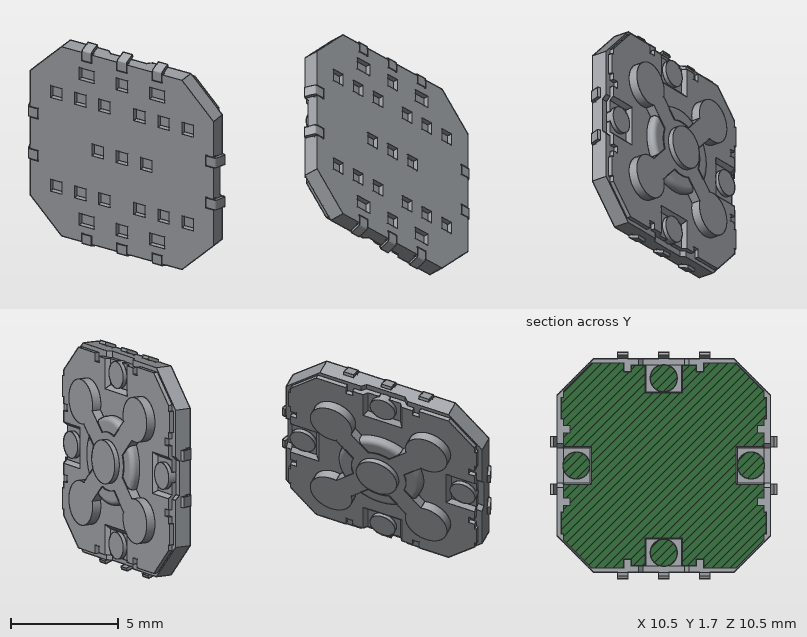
import cadquery as cq
import math

BASE_TOP = 0.8
COVER_THICKNESS = 0.2
COVER_TOP = BASE_TOP + COVER_THICKNESS
DISC_TOP = 1.41
HOUSING_TOP = 1.45
BUTTON_TOP = 1.7

BASE_SIZE = 9.9
BASE_CORNER = 1.7
BASE_HALF = BASE_SIZE / 2

WINDOW_DEPTH = 0.25
WINDOW_SIZE = 0.62
WIDE_WINDOW_SIZE = 0.82
INNER_WINDOW_X = (-1.31, 0, 1.31)
SIDE_WINDOW_X = (0.95, 2.25, 3.55)
SIDE_WINDOW_Z = 2.45
OUTER_WINDOW_Z = 3.81

COVER_HALF = 4.75
COVER_SETBACK = 0.1
COVER_INNER_HALF = COVER_HALF - COVER_SETBACK
COVER_CORNER = 1.31
TAB_Z = 2.66
TAB_WIDTH = 1.0
NOTCH_CENTRE = 1.68
NOTCH_WIDTH = 0.34
NOTCH_DEPTH = 0.3

CHANNEL_DEPTH = 0.2
CHANNEL_FLOOR = BASE_TOP - CHANNEL_DEPTH
BASE_CHANNEL_WIDEN = 0.2
BASE_CHANNEL_FLOOR_HALF_X = 0.82
BASE_CHANNEL_FLOOR_HALF_Z = 0.97
COVER_CHANNEL_FLOOR_HALF = 0.82
COVER_CHANNEL_TOP_HALF = 0.98
CHANNEL_INNER_END = 3.41
SLOT_WIDTH = 0.5
POST_RADIUS = 0.63
POST_OFFSET = 4.04

LOBE_RADIUS = 1.05
LOBE_OFFSET = 2.4
ARM_WIDTH = 1.07
HUB_RADIUS = 1.38
DISC_RADIUS = 2.09
DISC_FILLET = 0.24
BUTTON_RADIUS = 1.025

PIN_WIDTH = 0.5
PIN_THICKNESS = 0.15
PIN_TILT = math.radians(20)
PIN_TIP = 5.25
PIN_TIP_HEIGHT = 0.54
PIN_INNER_END = 4.54
PIN_BEND_RADIUS = 0.1
PIN_CLEARANCE = 0.03
PIN_ROOT_DEPTH = 0.2
PIN_PITCH_X = 1.9
PIN_OFFSET_Z = 1.1

SIDE_ANGLES = (0, 90, 180, 270)
DIAGONALS = (45, 135)


def plane_at(y):
    """Work plane parallel to XZ at height y; negative extrusions go towards +Y."""
    return cq.Workplane("XZ", origin=(0, y, 0))


def turned(shape, angle):
    """The shape rotated about the Y axis through the centre of the part."""
    return shape.rotate((0, 0, 0), (0, 1, 0), angle)


def disc(radius, bottom, top):
    return plane_at(bottom).circle(radius).extrude(bottom - top)


def block(x_size, z_size, bottom, top, x=0, z=0):
    return plane_at(bottom).center(x, z).rect(x_size, z_size).extrude(bottom - top)


def make_base():
    base = block(BASE_SIZE, BASE_SIZE, 0, BASE_TOP)
    return base.edges("|Y").chamfer(BASE_CORNER)


def make_window_cutter():
    small = [(x, 0) for x in INNER_WINDOW_X]
    wide = []
    for side in (-1, 1):
        small.append((0, side * OUTER_WINDOW_Z))
        for x in SIDE_WINDOW_X:
            small.append((x, side * SIDE_WINDOW_Z))
            small.append((-x, side * SIDE_WINDOW_Z))
        for direction in (-1, 1):
            wide.append((direction * PIN_PITCH_X, side * OUTER_WINDOW_Z))
    cutter = plane_at(0).pushPoints(small).rect(WINDOW_SIZE, WINDOW_SIZE).extrude(-WINDOW_DEPTH)
    wide_cutter = plane_at(0).pushPoints(wide).rect(WIDE_WINDOW_SIZE, WINDOW_SIZE).extrude(-WINDOW_DEPTH)
    return cutter.union(wide_cutter)


def make_cover():
    cover = block(2 * COVER_INNER_HALF, 2 * COVER_HALF, BASE_TOP, COVER_TOP)
    cover = cover.edges("|Y").chamfer(COVER_CORNER)
    for z in (-TAB_Z, TAB_Z):
        cover = cover.union(block(2 * COVER_HALF, TAB_WIDTH, BASE_TOP, COVER_TOP, z=z))
    notch_position = COVER_INNER_HALF - NOTCH_DEPTH / 2
    notch = block(NOTCH_WIDTH, NOTCH_DEPTH, BASE_TOP, COVER_TOP, NOTCH_CENTRE, notch_position)
    notch = notch.union(notch.mirror("YZ"))
    tongue_width = 2 * NOTCH_CENTRE + NOTCH_WIDTH
    setback = block(tongue_width, COVER_SETBACK, BASE_TOP, COVER_TOP, z=COVER_HALF - COVER_SETBACK / 2)
    side_cut = notch.union(setback)
    for angle in SIDE_ANGLES:
        cover = cover.cut(turned(side_cut, angle))
    return cover


def trough(floor_half, top_half, floor, top, inner, outer):
    """Prism along Z with a trapezoidal section that widens from its floor to its top."""
    section = [(-top_half, top), (-floor_half, floor), (floor_half, floor), (top_half, top)]
    return cq.Workplane("XY", origin=(0, 0, inner)).polyline(section).close().extrude(outer - inner)


def make_channel_cutter(base_floor_half):
    """Channel on the +Z side: an open trough outside the cover edge, a lowered cover inside it."""
    base_cut = trough(base_floor_half, base_floor_half + BASE_CHANNEL_WIDEN,
                      CHANNEL_FLOOR, BASE_TOP, COVER_INNER_HALF, BASE_HALF)
    cover_cut = trough(COVER_CHANNEL_FLOOR_HALF, COVER_CHANNEL_TOP_HALF,
                       BASE_TOP, COVER_TOP, CHANNEL_INNER_END - CHANNEL_DEPTH, BASE_HALF)
    end_ramp = (
        cq.Workplane("YZ")
        .moveTo(BASE_TOP, CHANNEL_INNER_END - CHANNEL_DEPTH)
        .lineTo(BASE_TOP, CHANNEL_INNER_END)
        .lineTo(COVER_TOP, CHANNEL_INNER_END - CHANNEL_DEPTH)
        .close()
        .extrude(COVER_CHANNEL_TOP_HALF, both=True)
    )
    slot_length = BASE_HALF - POST_OFFSET
    slot = block(SLOT_WIDTH, slot_length, CHANNEL_FLOOR, BASE_TOP, z=POST_OFFSET + slot_length / 2)
    return base_cut.union(cover_cut.cut(end_ramp)).union(slot)


def make_post():
    return disc(POST_RADIUS, CHANNEL_FLOOR, COVER_TOP).translate((0, 0, POST_OFFSET))


def make_housing():
    arm_length = 2 * math.hypot(LOBE_OFFSET, LOBE_OFFSET)
    housing = disc(HUB_RADIUS, COVER_TOP, HOUSING_TOP)
    for angle in DIAGONALS:
        housing = housing.union(turned(block(arm_length, ARM_WIDTH, COVER_TOP, HOUSING_TOP), angle))
    for x in (-LOBE_OFFSET, LOBE_OFFSET):
        for z in (-LOBE_OFFSET, LOBE_OFFSET):
            housing = housing.union(disc(LOBE_RADIUS, COVER_TOP, HOUSING_TOP).translate((x, 0, z)))
    return housing


def make_centre_stack():
    rounded_disc = disc(DISC_RADIUS, COVER_TOP, DISC_TOP).edges(">Y").fillet(DISC_FILLET)
    return rounded_disc.union(disc(BUTTON_RADIUS, COVER_TOP, BUTTON_TOP))


def make_pin():
    """Pin on the +Z side: a foot set in the base and a leg tilted outwards."""
    tip_outer = (PIN_TIP_HEIGHT, PIN_TIP)
    tip_inner = (
        PIN_TIP_HEIGHT + PIN_THICKNESS * math.sin(PIN_TILT),
        PIN_TIP - PIN_THICKNESS * math.cos(PIN_TILT),
    )
    heel = PIN_TIP - PIN_TIP_HEIGHT * math.tan(PIN_TILT)
    leg_root = tip_inner[1] - (tip_inner[0] - PIN_THICKNESS) * math.tan(PIN_TILT)
    bend = PIN_BEND_RADIUS * math.tan((math.pi / 2 - PIN_TILT) / 2)
    bend_end = (bend * math.cos(PIN_TILT), heel + bend * math.sin(PIN_TILT))
    leg = (
        cq.Workplane("YZ")
        .moveTo(0, PIN_INNER_END)
        .lineTo(0, heel - bend)
        .tangentArcPoint(bend_end, relative=False)
        .lineTo(*tip_outer)
        .lineTo(*tip_inner)
        .lineTo(PIN_THICKNESS, leg_root)
        .lineTo(PIN_THICKNESS, PIN_INNER_END)
        .close()
        .extrude(PIN_WIDTH / 2, both=True)
    )
    foot_length = BASE_HALF - PIN_INNER_END
    foot = block(PIN_WIDTH, foot_length, 0, PIN_ROOT_DEPTH, z=PIN_INNER_END + foot_length / 2)
    return leg.union(foot)


def make_pin_recess():
    length = BASE_HALF - PIN_INNER_END + PIN_CLEARANCE
    width = PIN_WIDTH + 2 * PIN_CLEARANCE
    return block(width, length, 0, PIN_ROOT_DEPTH, z=BASE_HALF - length / 2)


def at_all_pins(shape):
    """Copies of a +Z side shape at three places on each Z side and two on each X side."""
    copies = []
    for angle in (0, 180):
        for x in (-PIN_PITCH_X, 0, PIN_PITCH_X):
            copies.append(turned(shape.translate((x, 0, 0)), angle))
    for angle in (90, 270):
        for offset in (-PIN_OFFSET_Z, PIN_OFFSET_Z):
            copies.append(turned(shape.translate((offset, 0, 0)), angle))
    return copies


result = make_base().cut(make_window_cutter()).union(make_cover())

for side_angle in SIDE_ANGLES:
    on_z_side = side_angle in (0, 180)
    floor_half = BASE_CHANNEL_FLOOR_HALF_Z if on_z_side else BASE_CHANNEL_FLOOR_HALF_X
    result = result.cut(turned(make_channel_cutter(floor_half), side_angle))
    result = result.union(turned(make_post(), side_angle))

result = result.union(make_housing()).union(make_centre_stack())

for recess in at_all_pins(make_pin_recess()):
    result = result.cut(recess)
for pin in at_all_pins(make_pin()):
    result = result.union(pin)